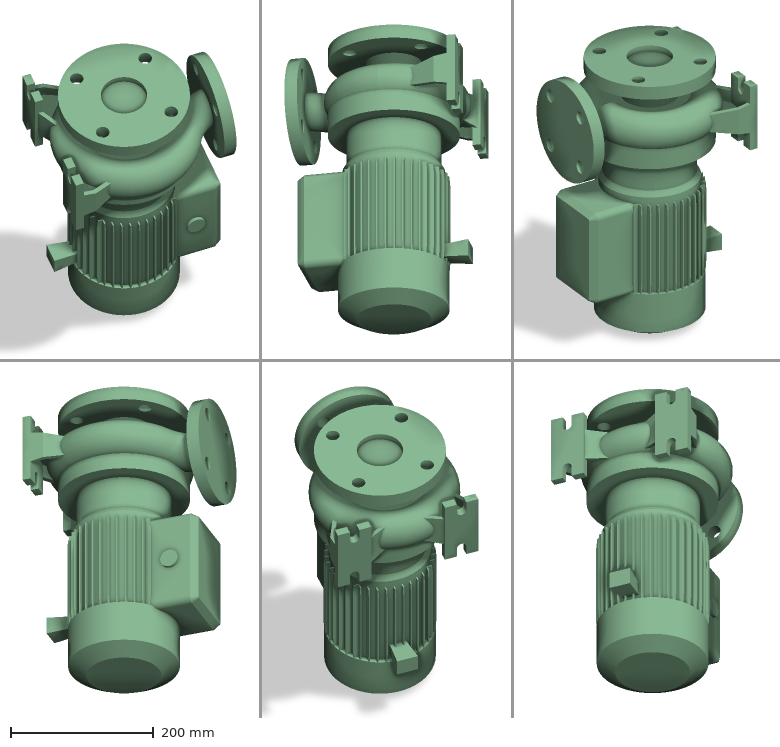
import cadquery as cq
import math


SUCTION_FACE_Z = 80.0
SUCTION_FLANGE_DIA = 185.0
SUCTION_FLANGE_THICKNESS = 20.0
SUCTION_BOLT_CIRCLE = 145.0
SUCTION_BORE_DIA = 65.0
SUCTION_BORE_DEPTH = 10.0
NECK_DIA = 80.0

DISCHARGE_FACE_Y = 140.0
DISCHARGE_FLANGE_DIA = 150.0
DISCHARGE_FLANGE_THICKNESS = 18.0
DISCHARGE_BOLT_CIRCLE = 110.0

BOLT_HOLE_DIA = 19.0
BOLT_COUNT = 4
FIRST_BOLT_DEG = 45.0

TUBE_RADIUS = 27.0
VOLUTE_RIGHT_X = 112.91
MAIN_ARC_RADIUS = 79.5
MAIN_ARC_X = VOLUTE_RIGHT_X - TUBE_RADIUS - MAIN_ARC_RADIUS
TONGUE_ARC_RADIUS = 70.0
TONGUE_ARC_X = MAIN_ARC_X - MAIN_ARC_RADIUS + TONGUE_ARC_RADIUS
DISCHARGE_ARC_RADIUS = (DISCHARGE_FACE_Y**2 + MAIN_ARC_X**2 - MAIN_ARC_RADIUS**2) / (
    2 * (MAIN_ARC_RADIUS + MAIN_ARC_X)
)
DISCHARGE_ARC_ANGLE = math.degrees(
    math.atan2(DISCHARGE_FACE_Y, DISCHARGE_ARC_RADIUS - MAIN_ARC_X)
)

CASING_DIA = SUCTION_FLANGE_DIA
CASING_BOTTOM_Z = -50.0
CASING_TOP_Z = -10.0
COVER_DIA = 156.0
COVER_TOP_Z = 20.0

ADAPTER_DIA = 133.0
ADAPTER_BOTTOM_Z = -97.0
COLLAR_DIA = 144.0
COLLAR_TOP_Z = -105.5
FIN_TOP_Z = -116.5
FIN_THICKNESS = 2.0
FIN_PITCH_DEG = 9.0
FINS_PER_HALF_SIDE = 5
FIN_END_LENGTH = 14.0
FIN_END_SLOPE_DEG = 5.0
CORE_OVERLAP_RADIUS = COLLAR_DIA / 4
COWL_DIA = 156.5
COWL_TOP_Z = -255.0
COWL_SHOULDER_Z = -315.5
COWL_END_DIA = 105.0
MOTOR_BOTTOM_Z = -330.0

BOX_WIDTH = 100.0
BOX_TOP_Z = -116.5
BOX_BOTTOM_Z = -258.5
BOX_CENTER_Z = (BOX_TOP_Z + BOX_BOTTOM_Z) / 2
BOX_END_Y = 128.0
BOX_CORNER_RADIUS = 9.0
BOX_BEVEL_LENGTH = 10.5
BOX_BEVEL_INSET = 6.5

GLAND_DIA = 26.0
GLAND_LENGTH = 5.0
GLAND_Y = 88.0

BLOCK_WIDTH = 31.0
BLOCK_HEIGHT = 25.0
BLOCK_CENTER_Z = -237.0
BLOCK_END_Y = -110.0
BLOCK_DRAFT_DEG = 5.0

OVERALL_DEPTH = 252.0
FOOT_FACE_Y = DISCHARGE_FACE_Y - OVERALL_DEPTH
FOOT_THICKNESS = 12.0
FOOT_BACK_Y = FOOT_FACE_Y + FOOT_THICKNESS
FOOT_WIDTH = 50.0
FOOT_HEIGHT = 100.0
FOOT_OUTER_X = 105.0
FOOT_INNER_X = FOOT_OUTER_X - FOOT_WIDTH
FOOT_CENTER_X = FOOT_OUTER_X - FOOT_WIDTH / 2
FOOT_SLOT_WIDTH = 14.0
FOOT_SLOT_DEPTH = 22.0
RIB_THICKNESS = 6.5
WEB_THICKNESS = 6.0
OUTER_RIB_BEND_Y = -81.5
OUTER_RIB_ANGLE = 65.0
OUTER_RIB_RUN = 50.0
INNER_RIB_ANGLE = 30.0
INNER_RIB_RUN = 38.0
RIB_HALF_HEIGHT_AT_FOOT = 22.7
RIB_TAPER_DEG = 9.5


def cylinder(diameter, bottom_z, top_z):
    base = cq.Workplane("XY").workplane(offset=bottom_z)
    return base.circle(diameter / 2).extrude(top_z - bottom_z)


def suction_side():
    flange_bottom_z = SUCTION_FACE_Z - SUCTION_FLANGE_THICKNESS
    flange = cylinder(SUCTION_FLANGE_DIA, flange_bottom_z, SUCTION_FACE_Z)
    bolt_holes = (
        cq.Workplane("XY")
        .workplane(offset=flange_bottom_z)
        .polarArray(SUCTION_BOLT_CIRCLE / 2, FIRST_BOLT_DEG, 360, BOLT_COUNT)
        .circle(BOLT_HOLE_DIA / 2)
        .extrude(SUCTION_FLANGE_THICKNESS)
    )
    bore = cylinder(SUCTION_BORE_DIA, SUCTION_FACE_Z - SUCTION_BORE_DEPTH, SUCTION_FACE_Z)
    neck = cylinder(NECK_DIA, COVER_TOP_Z, flange_bottom_z)
    return flange.cut(bolt_holes).cut(bore).union(neck)


def discharge_flange():
    face = cq.Workplane("XZ", origin=(0, DISCHARGE_FACE_Y, 0))
    flange = face.circle(DISCHARGE_FLANGE_DIA / 2).extrude(DISCHARGE_FLANGE_THICKNESS)
    bolt_holes = (
        face.polarArray(DISCHARGE_BOLT_CIRCLE / 2, FIRST_BOLT_DEG, 360, BOLT_COUNT)
        .circle(BOLT_HOLE_DIA / 2)
        .extrude(DISCHARGE_FLANGE_THICKNESS)
    )
    return flange.cut(bolt_holes)


def tube_arc(center_x, center_y, side, radius, sweep_deg):
    """Round tube bent from the +X (side=1) or -X (side=-1) end of its arc.

    The bend turns counter-clockwise as seen from above.
    """
    return (
        cq.Workplane("XZ", origin=(center_x, center_y, 0))
        .center(side * radius, 0)
        .circle(TUBE_RADIUS)
        .revolve(sweep_deg, (-side * radius, 0), (-side * radius, 1))
    )


def volute():
    main_sweep = 180 + DISCHARGE_ARC_ANGLE
    main = tube_arc(MAIN_ARC_X, 0, -1, MAIN_ARC_RADIUS, main_sweep)
    tongue = tube_arc(TONGUE_ARC_X, 0, 1, TONGUE_ARC_RADIUS, 90)
    tongue = tongue.rotate((TONGUE_ARC_X, 0, 0), (TONGUE_ARC_X, 0, 1), 90)
    discharge = tube_arc(
        DISCHARGE_ARC_RADIUS, DISCHARGE_FACE_Y, -1, DISCHARGE_ARC_RADIUS, DISCHARGE_ARC_ANGLE
    )
    return main.union(discharge).union(tongue)


def casing():
    body = cylinder(CASING_DIA, CASING_BOTTOM_Z, CASING_TOP_Z)
    cover = cylinder(COVER_DIA, CASING_TOP_Z, COVER_TOP_Z)
    return body.union(cover)


def motor():
    profile = [
        (0, CASING_BOTTOM_Z),
        (ADAPTER_DIA / 2, CASING_BOTTOM_Z),
        (ADAPTER_DIA / 2, ADAPTER_BOTTOM_Z),
        (COLLAR_DIA / 2, COLLAR_TOP_Z),
        (COLLAR_DIA / 2, COWL_TOP_Z),
        (COWL_DIA / 2, COWL_TOP_Z),
        (COWL_DIA / 2, COWL_SHOULDER_Z),
        (COWL_END_DIA / 2, MOTOR_BOTTOM_Z),
        (0, MOTOR_BOTTOM_Z),
    ]
    return cq.Workplane("XZ").polyline(profile).close().revolve(360, (0, 0), (0, 1))


def cooling_fin(angle_deg):
    """Fin parallel to the Y axis, on the -Y side of the motor, at the given angle from that axis."""
    cowl_radius = COWL_DIA / 2
    center_x = cowl_radius * math.sin(math.radians(angle_deg))
    outer_face_x = abs(center_x) + FIN_THICKNESS / 2
    end_y = -math.sqrt(cowl_radius**2 - outer_face_x**2)
    crest_y = end_y - FIN_END_LENGTH * math.tan(math.radians(FIN_END_SLOPE_DEG))
    profile = [
        (-CORE_OVERLAP_RADIUS, COWL_TOP_Z),
        (end_y, COWL_TOP_Z),
        (crest_y, COWL_TOP_Z + FIN_END_LENGTH),
        (crest_y, FIN_TOP_Z - FIN_END_LENGTH),
        (end_y, FIN_TOP_Z),
        (-CORE_OVERLAP_RADIUS, FIN_TOP_Z),
    ]
    plane = cq.Workplane("YZ", origin=(center_x, 0, 0))
    return plane.polyline(profile).close().extrude(FIN_THICKNESS / 2, both=True)


def cooling_fins():
    """Four groups of parallel fins, one facing each side of the motor."""
    fins = cq.Workplane("XY")
    for step in range(-FINS_PER_HALF_SIDE, FINS_PER_HALF_SIDE):
        fin = cooling_fin((step + 0.5) * FIN_PITCH_DEG)
        for side_angle in (0, 90, 180, 270):
            fins = fins.add(fin.rotate((0, 0, 0), (0, 0, 1), side_angle))
    return fins.combine()


def terminal_box():
    height = BOX_TOP_Z - BOX_BOTTOM_Z
    length = BOX_END_Y - CORE_OVERLAP_RADIUS
    return (
        cq.Workplane("XY")
        .box(BOX_WIDTH, length, height)
        .translate((0, BOX_END_Y - length / 2, BOX_CENTER_Z))
        .edges("|Y")
        .fillet(BOX_CORNER_RADIUS)
        .faces(">Y")
        .chamfer(BOX_BEVEL_INSET, BOX_BEVEL_LENGTH)
    )


def cable_gland():
    face = cq.Workplane("YZ", origin=(BOX_WIDTH / 2, GLAND_Y, BOX_CENTER_Z))
    return face.circle(GLAND_DIA / 2).extrude(GLAND_LENGTH)


def support_block():
    """Block that narrows from its outer face to the motor core."""
    length = CORE_OVERLAP_RADIUS - abs(BLOCK_END_Y)
    return (
        cq.Workplane("XZ", origin=(0, BLOCK_END_Y, BLOCK_CENTER_Z))
        .rect(BLOCK_WIDTH, BLOCK_HEIGHT)
        .extrude(length, taper=BLOCK_DRAFT_DEG)
    )


def foot_pad():
    """Upright plate with an open slot in the middle of its top and bottom edges."""
    pad = cq.Workplane("XY").box(FOOT_WIDTH, FOOT_THICKNESS, FOOT_HEIGHT)
    slots = (
        cq.Workplane("XZ", origin=(0, FOOT_THICKNESS / 2, 0))
        .pushPoints([(0, FOOT_HEIGHT / 2), (0, -FOOT_HEIGHT / 2)])
        .slot2D(2 * FOOT_SLOT_DEPTH, FOOT_SLOT_WIDTH, 90)
        .extrude(FOOT_THICKNESS)
    )
    return pad.cut(slots).translate((FOOT_CENTER_X, FOOT_FACE_Y + FOOT_THICKNESS / 2, 0))


def plate(outline, height):
    """Upright prism on a plan outline, centred on Z = 0."""
    return cq.Workplane("XY").polyline(outline).close().extrude(height / 2, both=True)


def outer_rib_outline():
    """Straight stretch along Y from the foot, then a slanted stretch into the volute."""
    angle = math.radians(OUTER_RIB_ANGLE)
    run_x = -OUTER_RIB_RUN * math.cos(angle)
    run_y = OUTER_RIB_RUN * math.sin(angle)
    inside_x = FOOT_OUTER_X - RIB_THICKNESS
    inside_bend_y = OUTER_RIB_BEND_Y - RIB_THICKNESS * math.tan((math.pi / 2 - angle) / 2)
    return [
        (FOOT_OUTER_X, FOOT_BACK_Y),
        (FOOT_OUTER_X, OUTER_RIB_BEND_Y),
        (FOOT_OUTER_X + run_x, OUTER_RIB_BEND_Y + run_y),
        (inside_x + run_x, inside_bend_y + run_y),
        (inside_x, inside_bend_y),
        (inside_x, FOOT_BACK_Y),
    ]


def inner_rib_outline():
    """Slanted stretch from the inner side of the foot into the volute."""
    angle = math.radians(INNER_RIB_ANGLE)
    run_x = -INNER_RIB_RUN * math.cos(angle)
    run_y = INNER_RIB_RUN * math.sin(angle)
    front_y = FOOT_BACK_Y - RIB_THICKNESS / math.cos(angle)
    return [
        (FOOT_INNER_X, FOOT_BACK_Y),
        (FOOT_INNER_X + run_x, FOOT_BACK_Y + run_y),
        (FOOT_INNER_X + run_x, front_y + run_y),
        (FOOT_INNER_X, front_y),
    ]


def web_outline(outer_rib, inner_rib):
    """Fills the space between the foot, the volute and the two ribs."""
    return outer_rib[3:] + inner_rib[:2]


def rib_half_height(y):
    return RIB_HALF_HEIGHT_AT_FOOT + (FOOT_BACK_Y - y) * math.tan(math.radians(RIB_TAPER_DEG))


def rib_wedge():
    """Envelope that makes both ribs lower towards the volute."""
    profile = [
        (FOOT_FACE_Y, -rib_half_height(FOOT_FACE_Y)),
        (0, -rib_half_height(0)),
        (0, rib_half_height(0)),
        (FOOT_FACE_Y, rib_half_height(FOOT_FACE_Y)),
    ]
    return cq.Workplane("YZ").polyline(profile).close().extrude(FOOT_OUTER_X)


def foot_bracket():
    """Two ribs and a horizontal web joining the +X foot to the volute."""
    outer_rib = outer_rib_outline()
    inner_rib = inner_rib_outline()
    ribs = plate(outer_rib, FOOT_HEIGHT).union(plate(inner_rib, FOOT_HEIGHT))
    web = plate(web_outline(outer_rib, inner_rib), WEB_THICKNESS)
    return ribs.intersect(rib_wedge()).union(web)


def feet():
    foot = foot_pad().union(foot_bracket())
    return foot.union(foot.mirror("YZ"))


result = (
    casing()
    .union(volute())
    .union(suction_side())
    .union(discharge_flange())
    .union(motor())
    .union(cooling_fins())
    .union(terminal_box())
    .union(cable_gland())
    .union(support_block())
    .union(feet())
)